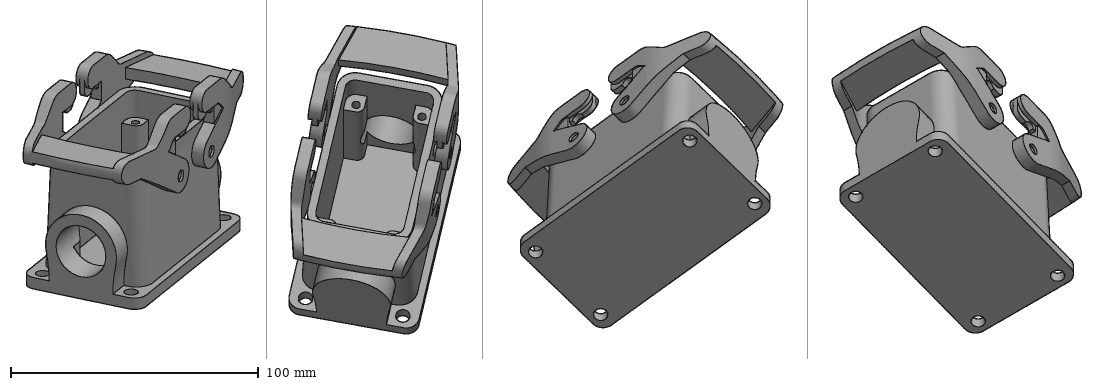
import cadquery as cq
import math

flange_width = 53.5
flange_length = 92.6
flange_thickness = 5.1
flange_corner_radius = 5.3
mount_hole_radius = 2.9
mount_hole_x = 20.0
mount_hole_y = 41.0

body_length = 73.3
body_top_width = 43.1
body_foot_width = 47.3
body_corner_radius = 7.5
wall = 3.4
cavity_width = body_top_width - 2 * wall
cavity_length = body_length - 2 * wall
collar_z = 51.6
rim_z = 57.3

post_inner_x = 10.0
post_inner_y = 25.3
post_corner_radius = 3.1
post_top_z = 45.3
post_hole_x = 13.5
post_hole_y = 28.5
post_hole_radius = 1.6
post_hole_depth = 9.9

boss_z = 21.0
boss_radius = 16.1
boss_foot_half_width = 14.4
bore_radius = 11.2

pivot_y = 13.5
pivot_z = 47.1
pivot_radius = 2.4
peg_recess = 1.1

arm_outer_x = 28.5
arm_thickness = 5.4
arm_inner_x = arm_outer_x - arm_thickness
arm_bend_angle = 14.5
outer_bend_start_y = 25.3
outer_bend_radius = 36.3
inner_bend_start_y = 32.7
inner_bend_radius = 16.5

lever_top_z = 76.0
lobe_radius = 7.0
limb_angle = 32.0
hook_thickness = 10.0
hook_tip_y = 5.0
shoulder_angle = 43.0
shoulder_foot_y = 33.5
shoulder_top_radius = 7.9
shoulder_foot_radius = 3.8
pocket_tip_y = 24.2
pocket_fillet_radius = 3.3
handle_z = 61.7
handle_radius = 5.1
handle_tip_y = 55.0
handle_end_curve_radius = 249.7

web_edge_y = 17.2
web_back_y = 24.8
web_recess = 0.7
web_overlap = 0.7
lip_inset = 1.6
lip_thickness = 2.3
lip_bottom_z = 62.9
lip_corner_radius = 3.2
notch_radius = 2.0

bar_thickness = 5.1
bar_inner_y = 38.2
bar_embed = 1.6

envelope_half_angle = 10.0

SIDES = (-1, 1)



def make_body():
    """Block with tapered sides, an upright collar on top and rounded corners."""
    half_foot = body_foot_width / 2
    half_top = body_top_width / 2
    return (
        cq.Workplane("XZ")
        .moveTo(-half_foot, flange_thickness)
        .lineTo(half_foot, flange_thickness)
        .lineTo(half_top, collar_z)
        .lineTo(half_top, rim_z)
        .lineTo(-half_top, rim_z)
        .lineTo(-half_top, collar_z)
        .close()
        .extrude(body_length / 2, both=True)
        .edges("not(|X or |Y)")
        .fillet(body_corner_radius)
    )


def make_cavity():
    """Straight-walled cavity from the rim down to the top of the flange."""
    return (
        cq.Workplane("XY", origin=(0, 0, flange_thickness))
        .rect(cavity_width, cavity_length)
        .extrude(rim_z - flange_thickness)
        .edges("|Z")
        .fillet(body_corner_radius - wall)
    )


def make_flange():
    return (
        cq.Workplane("XY")
        .rect(flange_width, flange_length)
        .extrude(flange_thickness)
        .edges("|Z")
        .fillet(flange_corner_radius)
        .faces(">Z")
        .workplane()
        .rect(2 * mount_hole_x, 2 * mount_hole_y, forConstruction=True)
        .vertices()
        .hole(2 * mount_hole_radius)
    )


def make_bosses():
    """Bar through both ends: a round head whose sides flow down to an upright foot."""
    rise = boss_z - flange_thickness
    foot = boss_foot_half_width
    flank_radius = (foot**2 + rise**2 - boss_radius**2) / (2 * (boss_radius - foot))
    flank_angle = math.asin(rise / (boss_radius + flank_radius))
    join_x = boss_radius * math.cos(flank_angle)
    join_z = boss_z - boss_radius * math.sin(flank_angle)
    middle_x = foot + flank_radius * (1 - math.cos(flank_angle / 2))
    middle_z = flange_thickness + flank_radius * math.sin(flank_angle / 2)
    return (
        cq.Workplane("XZ")
        .moveTo(-foot, flange_thickness)
        .lineTo(foot, flange_thickness)
        .threePointArc((middle_x, middle_z), (join_x, join_z))
        .threePointArc((0, boss_z + boss_radius), (-join_x, join_z))
        .threePointArc((-middle_x, middle_z), (-foot, flange_thickness))
        .close()
        .extrude(flange_length / 2, both=True)
    )


def make_posts(cavity):
    """Four square posts with one rounded corner, trimmed to the cavity."""
    span_x = cavity_width / 2 - post_inner_x
    span_y = cavity_length / 2 - post_inner_y
    post = (
        cq.Workplane("XY", origin=(post_inner_x, post_inner_y, flange_thickness))
        .rect(span_x, span_y, centered=False)
        .extrude(post_top_z - flange_thickness)
        .edges("|Z and <X and <Y")
        .fillet(post_corner_radius)
        .intersect(cavity)
    )
    hole = (
        cq.Workplane("XY", origin=(post_hole_x, post_hole_y, post_top_z))
        .circle(post_hole_radius)
        .extrude(-post_hole_depth)
    )
    post = post.cut(hole)
    pair = post.union(post.mirror("YZ"))
    return pair.union(pair.mirror("XZ"))


def make_bore():
    """Cable entry from the -Y end through the wall and the two posts behind it."""
    return (
        cq.Workplane("XZ", origin=(0, -post_inner_y, boss_z))
        .circle(bore_radius)
        .extrude(flange_length / 2 - post_inner_y)
    )


def make_pegs():
    """Pivot pegs from the side walls, ending short of the outer lever faces."""
    root_x = body_top_width / 2 - wall / 2
    tip_x = arm_outer_x - peg_recess
    peg = (
        cq.Workplane("YZ", origin=(root_x, 0, 0))
        .pushPoints([(side * pivot_y, pivot_z) for side in SIDES])
        .circle(pivot_radius)
        .extrude(tip_x - root_x)
    )
    return peg.union(peg.mirror("YZ"))


def make_housing():
    cavity = make_cavity()
    shell = make_flange().union(make_bosses()).union(make_body()).cut(cavity)
    return shell.union(make_posts(cavity)).cut(make_bore()).union(make_pegs())



limb_slope = math.tan(math.radians(limb_angle))
shoulder_slope = math.tan(math.radians(shoulder_angle))
bend_slope = math.tan(math.radians(arm_bend_angle))
hook_bottom_z = lever_top_z - hook_thickness


def on_lobe(angle):
    """Point on the lobe circle around the pivot, angle in degrees from +Y."""
    turn = math.radians(angle)
    return (pivot_y + lobe_radius * math.cos(turn), pivot_z + lobe_radius * math.sin(turn))


def arm_side_profile():
    """Side outline of an arm: lobe, limb, hook and square-ended handle, as a block along X."""
    lobe_under = on_lobe(limb_angle - 90)
    lobe_front = on_lobe(limb_angle + 180)
    lobe_over = on_lobe(limb_angle + 90)
    hook_radius = hook_thickness / 2
    hook_center_y = hook_tip_y + hook_radius
    handle_top_z = handle_z + handle_radius
    handle_bottom_z = handle_z - handle_radius
    handle_corner_y = lobe_under[0] + (handle_bottom_z - lobe_under[1]) / limb_slope
    pocket_tip_z = lobe_over[1] + (pocket_tip_y - lobe_over[0]) * limb_slope
    pocket_top_y = pocket_tip_y - (hook_bottom_z - pocket_tip_z) / shoulder_slope
    shoulder_top_y = shoulder_foot_y - (lever_top_z - handle_top_z) / shoulder_slope
    profile = (
        cq.Workplane("YZ")
        .moveTo(*lobe_under)
        .threePointArc(lobe_front, lobe_over)
        .lineTo(pocket_tip_y, pocket_tip_z)
        .lineTo(pocket_top_y, hook_bottom_z)
        .lineTo(hook_center_y, hook_bottom_z)
        .threePointArc((hook_tip_y, hook_bottom_z + hook_radius), (hook_center_y, lever_top_z))
        .lineTo(shoulder_top_y, lever_top_z)
        .lineTo(shoulder_foot_y, handle_top_z)
        .lineTo(handle_tip_y, handle_top_z)
        .lineTo(handle_tip_y, handle_bottom_z)
        .lineTo(handle_corner_y, handle_bottom_z)
        .close()
        .extrude(arm_outer_x)
    )
    rounded_corners = (
        (shoulder_top_y, lever_top_z, shoulder_top_radius),
        (shoulder_foot_y, handle_top_z, shoulder_foot_radius),
        (pocket_top_y, hook_bottom_z, pocket_fillet_radius),
    )
    for y, z, radius in rounded_corners:
        corner = cq.selectors.NearestToPointSelector((arm_outer_x / 2, y, z))
        profile = profile.edges("|X").edges(corner).fillet(radius)
    return profile


def bend_points(face_x, start_y, radius):
    """Start, middle and end of a face's inward bend, and its far end at the handle tip."""
    points = []
    for angle in (0, arm_bend_angle / 2, arm_bend_angle):
        turn = math.radians(angle)
        points.append((face_x - radius * (1 - math.cos(turn)), start_y + radius * math.sin(turn)))
    end_x, end_y = points[-1]
    far = (end_x - (handle_tip_y - end_y) * bend_slope, handle_tip_y)
    return points + [far]


def arm_plan():
    """Section of an arm from above: straight, then bent inward, as a block along Z."""
    outer = bend_points(arm_outer_x, outer_bend_start_y, outer_bend_radius)
    inner = bend_points(arm_inner_x, inner_bend_start_y, inner_bend_radius)
    return (
        cq.Workplane("XY")
        .moveTo(arm_inner_x, 0)
        .lineTo(arm_outer_x, 0)
        .lineTo(*outer[0])
        .threePointArc(outer[1], outer[2])
        .lineTo(*outer[3])
        .lineTo(*inner[3])
        .lineTo(*inner[2])
        .threePointArc(inner[1], inner[0])
        .close()
        .extrude(lever_top_z)
    )


def make_web():
    """Thinner plate closing the inside of the pocket between hook and limb."""
    return (
        cq.Workplane("YZ", origin=(arm_inner_x, 0, 0))
        .moveTo(web_edge_y, pivot_z + lobe_radius)
        .lineTo(web_back_y, pivot_z + lobe_radius)
        .lineTo(web_back_y, hook_bottom_z + web_overlap)
        .lineTo(web_edge_y, hook_bottom_z + web_overlap)
        .close()
        .extrude(arm_thickness - web_recess)
    )


def make_lip():
    """Catch lip under the hook, with a rounded notch that ramps out toward the tip."""
    lip_top_z = lever_top_z - hook_thickness / 2
    ramp = notch_radius * math.sqrt(0.5)
    ramp_foot_y = pivot_y - notch_radius * math.sqrt(2)
    corner = lip_corner_radius * (1 - math.sqrt(0.5))
    return (
        cq.Workplane("YZ", origin=(arm_outer_x - lip_inset, 0, 0))
        .moveTo(web_edge_y, lip_top_z)
        .lineTo(web_edge_y, lip_bottom_z)
        .lineTo(pivot_y + notch_radius, lip_bottom_z)
        .threePointArc((pivot_y, lip_bottom_z + notch_radius), (pivot_y - ramp, lip_bottom_z + ramp))
        .lineTo(ramp_foot_y, lip_bottom_z)
        .lineTo(hook_tip_y + lip_corner_radius, lip_bottom_z)
        .threePointArc(
            (hook_tip_y + corner, lip_bottom_z + corner),
            (hook_tip_y, lip_bottom_z + lip_corner_radius),
        )
        .lineTo(hook_tip_y, lip_top_z)
        .close()
        .extrude(-lip_thickness)
    )


def make_arm():
    pivot_hole = (
        cq.Workplane("YZ")
        .center(pivot_y, pivot_z)
        .circle(pivot_radius)
        .extrude(arm_outer_x)
    )
    blank = arm_side_profile().intersect(arm_plan())
    return blank.union(make_web()).union(make_lip()).cut(pivot_hole)


def make_bar():
    """Handle bar with a gently arched inner edge, its ends set into the arms."""
    inner = bend_points(arm_inner_x, inner_bend_start_y, inner_bend_radius)
    near_x = inner[2][0] + bar_embed
    far_x = inner[3][0] + bar_embed
    inner_radius = handle_end_curve_radius - (handle_tip_y - bar_inner_y)
    near_y = handle_tip_y - handle_end_curve_radius + math.sqrt(inner_radius**2 - near_x**2)
    return (
        cq.Workplane("XY", origin=(0, 0, handle_z - bar_thickness / 2))
        .moveTo(-near_x, near_y)
        .threePointArc((0, bar_inner_y), (near_x, near_y))
        .lineTo(far_x, handle_tip_y)
        .lineTo(-far_x, handle_tip_y)
        .close()
        .extrude(bar_thickness)
    )


def handle_end_envelope():
    """Space that contains a lever, bounded by the rounded and arched handle end."""
    axis_y = handle_tip_y - handle_end_curve_radius
    center_y = handle_tip_y - handle_radius
    return (
        cq.Workplane("YZ")
        .moveTo(0, 0)
        .lineTo(center_y, 0)
        .lineTo(center_y, handle_z - handle_radius)
        .threePointArc((handle_tip_y, handle_z), (center_y, handle_z + handle_radius))
        .lineTo(center_y, lever_top_z)
        .lineTo(0, lever_top_z)
        .close()
        .revolve(2 * envelope_half_angle, (axis_y, 0, 0), (axis_y, 1, 0))
        .rotate((0, axis_y, 0), (0, axis_y, 1), -envelope_half_angle)
    )


def make_lever():
    arm = make_arm()
    return arm.union(arm.mirror("YZ")).union(make_bar()).intersect(handle_end_envelope())



housing = make_housing()
levers = []
for facing in (0, 180):
    levers.append(make_lever().rotate((0, 0, 0), (0, 0, 1), facing))

result = cq.Compound.makeCompound(
    [housing.solids().val(), *[lever.solids().val() for lever in levers]]
)